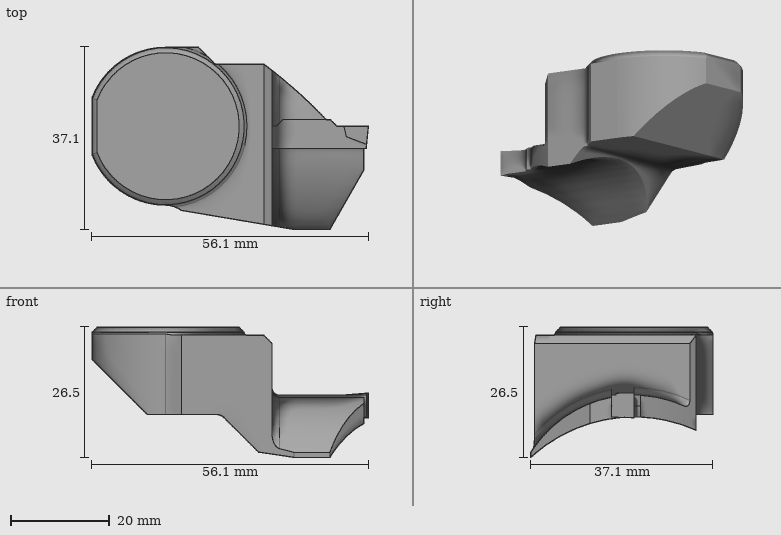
import cadquery as cq
import math


body_radius = 16.05
disc_radius = 15.95
disc_top = 17.7
disc_chamfer = 1.0
neck_fillet = 0.55
block_top = 16.1
flat_x = -14.9
back_slope_end = -3.75
back_slope_top = back_slope_end - flat_x

shoulder_x = 6.6
side_y = 12.6
front_y = -21.0
block_end = 21.6
block_chamfer = 1.7
side_taper_start = block_end - block_chamfer
side_bow = (26.7, 7.05)
flare_end = (3.2, -17.1)
flare_radius = 5.6
front_taper_end = 26.1
nose_corner_x = 33.3
nose_x = 40.2
nose_y = -8.9

lower_radius = 30.85
lower_crown = -0.5
upper_radius = 24.75
upper_crown = 3.9
blade_fillet = 1.5
belly_slope_start = 11.2
belly_fillet = 2.5

insert_top = 4.0
insert_thickness = 2.25
insert_front_y = -4.55
insert_back_y = 1.35
insert_step_x = 22.45
insert_back_taper_end = 32.6
insert_back_end = 33.45
tip_x = 41.2
tip_front_x = 40.75
tip_bottom = -0.7
tip_front_bottom = -0.5
land_start = 36.2
land_rise = 0.4
land_corner = (36.7, -2.15)
land_front_y = -3.7

margin = 56.1


def make_plan(height_from, height_to):
    """Holder outline as a vertical prism."""
    span = math.dist((0, -body_radius), flare_end)
    chord_angle = math.atan2(-body_radius - flare_end[1], flare_end[0])
    sagitta = flare_radius - math.sqrt(flare_radius**2 - (span / 2) ** 2)
    flare_mid = (
        flare_end[0] / 2 + sagitta * math.sin(chord_angle),
        (flare_end[1] - body_radius) / 2 + sagitta * math.cos(chord_angle),
    )
    flat_half = math.sqrt(body_radius**2 - flat_x**2)
    diagonal = body_radius / math.sqrt(2)
    return (
        cq.Workplane("XY", origin=(0, 0, height_from))
        .moveTo(flat_x, flat_half)
        .threePointArc((-diagonal, diagonal), (0, body_radius))
        .lineTo(shoulder_x, body_radius)
        .lineTo(shoulder_x + body_radius - side_y, side_y)
        .lineTo(side_taper_start, side_y)
        .threePointArc(side_bow, (insert_back_taper_end, insert_back_y))
        .lineTo(insert_back_end, insert_back_y)
        .lineTo(insert_back_end + insert_back_y, 0)
        .lineTo(nose_x, 0)
        .lineTo(nose_x, nose_y)
        .lineTo(nose_corner_x, front_y)
        .lineTo(front_taper_end, front_y)
        .lineTo(*flare_end)
        .threePointArc(flare_mid, (0, -body_radius))
        .threePointArc((-diagonal, -diagonal), (flat_x, -flat_half))
        .close()
        .extrude(height_to - height_from)
    )


def make_side_profile():
    """Shank silhouette in XZ, carried across the full width."""
    depth = 16.85
    profile = (
        cq.Workplane("XZ", origin=(0, margin, 0))
        .moveTo(flat_x, back_slope_top)
        .lineTo(back_slope_end, 0)
        .lineTo(belly_slope_start, 0)
        .lineTo(belly_slope_start + depth, -depth)
        .lineTo(margin, -depth)
        .lineTo(margin, block_top - block_chamfer)
        .lineTo(block_end, block_top - block_chamfer)
        .lineTo(block_end - block_chamfer, block_top)
        .lineTo(block_end - block_chamfer, disc_top)
        .lineTo(flat_x, disc_top)
        .close()
        .extrude(2 * margin)
    )
    belly_edge = cq.selectors.NearestToPointSelector((belly_slope_start, 0, 0))
    return profile.edges(belly_edge).fillet(belly_fillet)


def make_disc():
    """Chamfered disc with a concave fillet down to the shank top."""
    bend = neck_fillet * (1 - math.sqrt(0.5))
    flare = (
        cq.Workplane("XZ")
        .moveTo(0, block_top)
        .lineTo(disc_radius + neck_fillet, block_top)
        .threePointArc(
            (disc_radius + bend, block_top + bend),
            (disc_radius, block_top + neck_fillet),
        )
        .lineTo(0, block_top + neck_fillet)
        .close()
        .revolve(360, (0, 0, 0), (0, 1, 0))
    )
    disc = (
        cq.Workplane("XY", origin=(0, 0, block_top))
        .circle(disc_radius)
        .extrude(disc_top - block_top)
    )
    disc = disc.faces(">Z").edges().chamfer(disc_chamfer)
    flat_profile = (
        cq.Workplane("XZ", origin=(0, margin, 0))
        .moveTo(flat_x, block_top)
        .lineTo(flat_x, disc_top - disc_chamfer)
        .lineTo(flat_x + disc_chamfer, disc_top)
        .lineTo(margin, disc_top)
        .lineTo(margin, block_top)
        .close()
        .extrude(2 * margin)
    )
    disc = disc.intersect(flat_profile)
    return disc.union(flare.intersect(make_plan(block_top, disc_top)))


def make_upper_cut():
    """Space over the blade: revolved about the blade axis, with the root fillet."""
    axis_z = upper_crown - upper_radius
    bend = blade_fillet * (1 - math.sqrt(0.5))
    return (
        cq.Workplane("XZ")
        .moveTo(block_end, upper_crown + blade_fillet)
        .threePointArc(
            (block_end + bend, upper_crown + bend),
            (block_end + blade_fillet, upper_crown),
        )
        .lineTo(margin, upper_crown)
        .lineTo(margin, margin)
        .lineTo(block_end, margin)
        .close()
        .revolve(360, (0, axis_z, 0), (1, axis_z, 0))
    )


def make_lower_cut():
    """Cylindrical hollow under the blade."""
    return (
        cq.Workplane("YZ")
        .center(0, lower_crown - lower_radius)
        .circle(lower_radius)
        .extrude(margin)
    )


def insert_outline(height_from):
    """Plan outline of the insert, with a raised back shoulder."""
    return (
        cq.Workplane("XY", origin=(0, 0, height_from))
        .moveTo(block_end, insert_front_y)
        .lineTo(block_end, 0)
        .lineTo(insert_step_x, 0)
        .lineTo(insert_step_x + insert_back_y, insert_back_y)
        .lineTo(insert_back_end, insert_back_y)
        .lineTo(insert_back_end + insert_back_y, 0)
        .lineTo(tip_x, 0)
        .lineTo(tip_front_x, insert_front_y)
        .close()
    )


def make_insert():
    plate = insert_outline(insert_top - insert_thickness).extrude(insert_thickness)
    skirt = (
        cq.Workplane("YZ", origin=(nose_x, 0, 0))
        .polyline([
            (0, tip_bottom),
            (0, insert_top),
            (insert_front_y, insert_top),
            (insert_front_y, tip_front_bottom),
        ])
        .close()
        .extrude(tip_x - nose_x)
        .intersect(insert_outline(tip_bottom).extrude(insert_top - tip_bottom))
    )
    land_wedge = (
        cq.Workplane("XZ")
        .polyline([
            (land_start, insert_top),
            (tip_x, insert_top + land_rise),
            (tip_x, insert_top),
        ])
        .close()
        .extrude(-insert_front_y)
    )
    land_front_x = tip_x + (tip_front_x - tip_x) * land_front_y / insert_front_y
    land_plan = (
        cq.Workplane("XY", origin=(0, 0, insert_top))
        .polyline([(land_start, 0), (tip_x, 0), (land_front_x, land_front_y), land_corner])
        .close()
        .extrude(land_rise)
    )
    return plate.union(skirt).union(land_wedge.intersect(land_plan))


def make_holder():
    holder = make_plan(-margin, block_top).intersect(make_side_profile())
    holder = holder.union(make_disc())
    holder = holder.cut(make_upper_cut()).cut(make_lower_cut())
    seat = insert_outline(insert_top - insert_thickness).extrude(insert_thickness + blade_fillet)
    return holder.cut(seat)


holder = make_holder()
insert = make_insert()
result = cq.Compound.makeCompound([holder.val(), insert.val()])